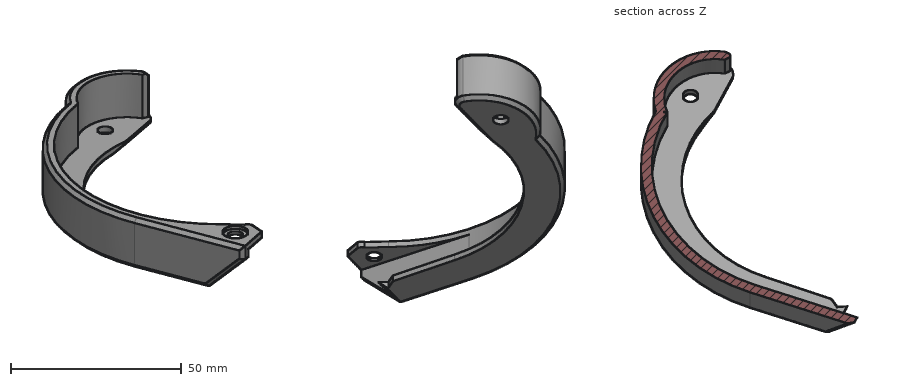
import cadquery as cq
import math

HEIGHT = 16.7
FLOOR_THICKNESS = 2.1
CHAMFER = 1.3

OUTER_RADIUS = 52.1
WALL_INNER_RADIUS = 48.7
FLOOR_INNER_RADIUS = 40.1

ARM_ANGLE = 18.0
ARM_LENGTH = 36.5
SLOPE_START = 24.4

KNOB_CENTER_X = -39.7
KNOB_RADIUS = 18.1
KNOB_INNER_RADIUS = 14.8
KNOB_WALL_END_ANGLE = 120.0
TIP_START_Y = 15.3
TIP_MIDDLE = (-46.8, 15.6)
TIP_END = (-44.3, 13.3)

HOLE_DIAMETER = 4.5
RECESS_DIAMETER = 7.6
RECESS_DEPTH = 1.0
LUG_THICKNESS = 2.1
KNOB_HOLE = (-49.2, 0)
LUG_HOLE = (42.2, -33.3)

FLOOR_END = (32.5, -31.9)
LUG_ROOT_Y = -33.1
LUG_ROOT = (math.sqrt(WALL_INNER_RADIUS**2 - LUG_ROOT_Y**2), LUG_ROOT_Y)
LUG_SHOULDER = (40.7, -28.1)
LUG_ROUND_MIDDLE = (41.4, -27.2)
LUG_TOP = (42.3, -26.7)
LUG_END_OFFSET = 40.7


def polar(radius, degrees, center_x=0.0):
    angle = math.radians(degrees)
    return (center_x + radius * math.cos(angle), radius * math.sin(angle))


def arm_point(along, outward):
    """Point at a distance along the arm and a distance outward from the arc centre."""
    angle = math.radians(ARM_ANGLE)
    x = along * math.cos(angle) + outward * math.sin(angle)
    y = along * math.sin(angle) - outward * math.cos(angle)
    return (x, y)


def cylinder_above_floor(radius, center_x=0.0):
    """Cylinder that clears everything above the floor."""
    return (
        cq.Workplane("XY", origin=(center_x, 0, FLOOR_THICKNESS))
        .circle(radius)
        .extrude(HEIGHT)
    )


JUNCTION_X = (OUTER_RADIUS**2 - KNOB_RADIUS**2 + KNOB_CENTER_X**2) / (2 * KNOB_CENTER_X)
JUNCTION = (JUNCTION_X, -math.sqrt(OUTER_RADIUS**2 - JUNCTION_X**2))
TIP_START = (KNOB_CENTER_X - math.sqrt(KNOB_RADIUS**2 - TIP_START_Y**2), TIP_START_Y)
KNOB_MIDDLE = (KNOB_CENTER_X - KNOB_RADIUS, 0)
BAND_MIDDLE = polar(OUTER_RADIUS, 240)


def make_blank():
    """Full-height outline of the band, knob and lug, with the sloping underside cut."""
    tangent_angle = ARM_ANGLE - 90
    blank = (
        cq.Workplane("XY")
        .moveTo(*TIP_START)
        .threePointArc(KNOB_MIDDLE, JUNCTION)
        .threePointArc(BAND_MIDDLE, polar(OUTER_RADIUS, tangent_angle))
        .lineTo(*arm_point(ARM_LENGTH, OUTER_RADIUS))
        .lineTo(*arm_point(ARM_LENGTH, LUG_END_OFFSET))
        .lineTo(*LUG_TOP)
        .threePointArc(LUG_ROUND_MIDDLE, LUG_SHOULDER)
        .lineTo(*LUG_ROOT)
        .lineTo(*FLOOR_END)
        .lineTo(*polar(FLOOR_INNER_RADIUS, tangent_angle))
        .threePointArc(polar(FLOOR_INNER_RADIUS, 235), (-FLOOR_INNER_RADIUS, 0))
        .lineTo(*TIP_END)
        .threePointArc(TIP_MIDDLE, TIP_START)
        .close()
        .extrude(HEIGHT)
    )
    slope = (
        cq.Workplane("XZ")
        .polyline([(SLOPE_START, 0), (SLOPE_START + HEIGHT, 0), (SLOPE_START + HEIGHT, HEIGHT)])
        .close()
        .extrude(2 * OUTER_RADIUS)
        .rotate((0, 0, 0), (0, 0, 1), ARM_ANGLE)
    )
    return blank.cut(slope)


def chamfer_outside(body):
    """Chamfer the rim of the outer side: top, bottom, slope and arm end."""
    face_points = [
        KNOB_MIDDLE,
        BAND_MIDDLE,
        arm_point(SLOPE_START / 2, OUTER_RADIUS),
    ]
    seams = [TIP_START, JUNCTION, arm_point(0, OUTER_RADIUS)]
    tolerance = 0.01
    rim = []
    for x, y in face_points:
        probe = cq.Vertex.makeVertex(x, y, HEIGHT / 2)
        face = min(body.faces().vals(), key=probe.distance)
        for edge in face.Edges():
            middle = edge.Center()
            on_seam = any(math.dist((middle.x, middle.y), seam) < tolerance for seam in seams)
            known = any(edge.isSame(other) for other in rim)
            if not on_seam and not known:
                rim.append(edge)
    return body.newObject(rim).chamfer(CHAMFER)


def knob_wall_end():
    """Space beyond the end of the knob wall, leaving the wall with a round end."""
    reach = 2 * KNOB_RADIUS
    space = (
        cq.Workplane("XY", origin=(0, 0, FLOOR_THICKNESS))
        .moveTo(KNOB_CENTER_X, 0)
        .lineTo(*polar(reach, KNOB_WALL_END_ANGLE, KNOB_CENTER_X))
        .lineTo(KNOB_CENTER_X, reach)
        .close()
        .extrude(HEIGHT)
    )
    middle_radius = (KNOB_RADIUS + KNOB_INNER_RADIUS) / 2
    round_end = (
        cq.Workplane("XY")
        .center(*polar(middle_radius, KNOB_WALL_END_ANGLE, KNOB_CENTER_X))
        .circle((KNOB_RADIUS - KNOB_INNER_RADIUS) / 2)
        .extrude(2 * HEIGHT)
    )
    return space.cut(round_end)


def lug_underside():
    """Space between the floor and the lug plate, open at the end of the arm."""
    return (
        cq.Workplane("XY", origin=(0, 0, FLOOR_THICKNESS))
        .moveTo(0, 0)
        .lineTo(*arm_point(0, WALL_INNER_RADIUS))
        .lineTo(*arm_point(2 * ARM_LENGTH, WALL_INNER_RADIUS))
        .lineTo(*arm_point(2 * ARM_LENGTH, 0))
        .close()
        .extrude(HEIGHT - LUG_THICKNESS - FLOOR_THICKNESS)
    )


def vertical_bore(center, diameter, bottom, top):
    return (
        cq.Workplane("XY", origin=(*center, bottom))
        .circle(diameter / 2)
        .extrude(top - bottom)
    )


body = chamfer_outside(make_blank())

body = body.cut(cylinder_above_floor(WALL_INNER_RADIUS))
body = body.cut(cylinder_above_floor(KNOB_INNER_RADIUS, KNOB_CENTER_X))
body = body.cut(knob_wall_end())
body = body.cut(lug_underside())

for hole in (KNOB_HOLE, LUG_HOLE):
    body = body.cut(vertical_bore(hole, HOLE_DIAMETER, 0, HEIGHT))
body = body.cut(vertical_bore(LUG_HOLE, RECESS_DIAMETER, HEIGHT - RECESS_DEPTH, HEIGHT))

result = body